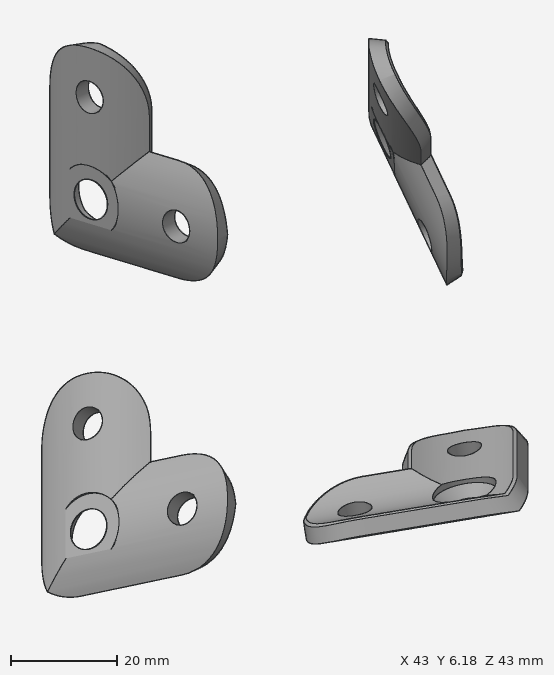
import cadquery as cq
import math

longest_side = 43
outer_radius = 24.0
thickness = 3.7
inner_radius = outer_radius - thickness
half_angle = math.radians(30)
half_width = outer_radius * math.sin(half_angle)
arm_length = longest_side - half_width

end_radius = half_width
corner_radius = 10.0
rim_chamfer = 0.5

screw_hole_diameter = 6.5
screw_hole_distance = 21.0

corner_hole_diameter = 8.0
seat_half_square = 5.0
seat_radius = seat_half_square * math.sqrt(2)
seat_y = -math.sqrt(outer_radius**2 - seat_half_square**2)
lip_depth = 0.17
sink_diameter = 12.3
sink_depth = (sink_diameter - corner_hole_diameter) / 2

margin = 4.3
tolerance = 0.005
start_z = -half_width - margin
tube_length = arm_length - start_z


def half_arm():
    """Half (x <= 0) of the upright arm, with a radial side wall and a rounded tip."""
    tube = (
        cq.Workplane("XY", origin=(0, 0, start_z))
        .circle(outer_radius)
        .circle(inner_radius)
        .extrude(tube_length)
    )
    left_side = (
        cq.Workplane("XY", origin=(-outer_radius, 0, start_z))
        .rect(2 * outer_radius, 4 * outer_radius)
        .extrude(tube_length)
    )
    wall_plane = cq.Plane(
        origin=(0, 0, 0),
        xDir=(math.cos(half_angle), -math.sin(half_angle), 0),
        normal=(-math.sin(half_angle), -math.cos(half_angle), 0),
    )
    outline = (
        cq.Workplane(wall_plane)
        .moveTo(0, start_z)
        .lineTo(0, arm_length - end_radius)
        .radiusArc((end_radius, arm_length), end_radius)
        .lineTo(end_radius + margin, arm_length)
        .lineTo(end_radius + margin, start_z)
        .close()
        .extrude(outer_radius + margin)
    )
    return tube.intersect(left_side).intersect(outline)


def mitred_arm():
    """Upright arm trimmed on the mitre plane, keeping z >= x."""
    half = half_arm()
    arm = half.union(half.mirror("YZ"))
    reach = 2 * longest_side
    above_mitre = (
        cq.Workplane("XZ")
        .polyline([(-reach, -reach), (reach, reach), (-reach, reach)])
        .close()
        .extrude(reach)
    )
    return arm.intersect(above_mitre)


def on_inner_rim(edge):
    """True for an edge that lies on an inner tube face but off the mitre plane."""
    middle = edge.positionAt(0.5)
    on_mitre = abs(middle.x - middle.z) < tolerance
    axis_distances = (math.hypot(middle.x, middle.y), math.hypot(middle.z, middle.y))
    on_inner_face = any(abs(d - inner_radius) < tolerance for d in axis_distances)
    return on_inner_face and not on_mitre


def front_cylinder(diameter, x, z, back_y):
    """Cylinder along Y that starts at back_y and runs out past the front of the part."""
    return (
        cq.Workplane("XZ", origin=(x, back_y, z))
        .circle(diameter / 2)
        .extrude(outer_radius + margin + back_y)
    )


def countersink():
    """Cone that widens towards the back, followed by a straight bore."""
    cone_start = seat_y + lip_depth
    profile = [
        (0, cone_start),
        (corner_hole_diameter / 2, cone_start),
        (sink_diameter / 2, cone_start + sink_depth),
        (sink_diameter / 2, 0),
        (0, 0),
    ]
    return cq.Workplane("XY").polyline(profile).close().revolve(360, (0, 0, 0), (0, 1, 0))


upright = mitred_arm()
body = upright.union(upright.mirror((1, 0, -1)))

corner_direction = cq.Vector(math.tan(half_angle), 1, math.tan(half_angle))
body = body.edges(cq.selectors.ParallelDirSelector(corner_direction)).fillet(corner_radius)

body = body.edges().filter(on_inner_rim).chamfer(rim_chamfer)

for x, z in [(0, screw_hole_distance), (screw_hole_distance, 0)]:
    body = body.cut(front_cylinder(screw_hole_diameter, x, z, 0))

body = body.cut(front_cylinder(2 * seat_radius, 0, 0, seat_y))
body = body.cut(front_cylinder(corner_hole_diameter, 0, 0, 0))
body = body.cut(countersink())

result = body.solids()